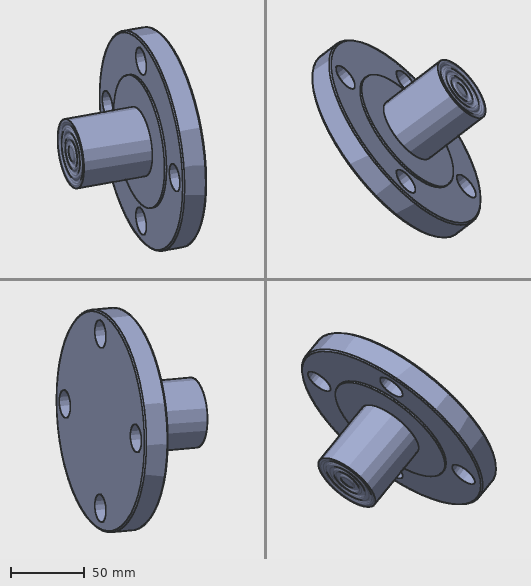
import cadquery as cq
import math

flange_diameter = 152.0
flange_thickness = 17.5
edge_chamfer = 1.0
raised_face_diameter = 92.0
raised_face_height = 1.5

bolt_hole_count = 4
bolt_hole_diameter = 19.0
bolt_circle_diameter = 121.0

tube_diameter = 48.0
tube_length = 50.0
total_length = flange_thickness + raised_face_height + tube_length

rim_inner_radius = 22.2
wave_radii = [20.4, 18.1, 14.9, 11.7, 9.9, 5.8]
center_disc_radius = 4.9
wave_slope = math.radians(40)
half_slope_tangent = math.tan(wave_slope / 2)


def cylinder(diameter, length):
    """Cylinder from the back face toward -Y."""
    return cq.Workplane("XZ").circle(diameter / 2).extrude(length)


def make_flange():
    flange = cylinder(flange_diameter, flange_thickness).edges().chamfer(edge_chamfer)
    return flange.union(cylinder(raised_face_diameter, flange_thickness + raised_face_height))


def make_bolt_holes():
    return (
        cq.Workplane("XZ")
        .polarArray(bolt_circle_diameter / 2, 0, 360, bolt_hole_count)
        .circle(bolt_hole_diameter / 2)
        .extrude(flange_thickness)
    )


def blend_midpoint(flat_radius, flat_y, joint_radius):
    """Middle of the arc that leaves a flat face and reaches the wave slope at the joint."""
    arc_radius = abs(flat_radius - joint_radius) / math.sin(wave_slope)
    side = math.copysign(1, joint_radius - flat_radius)
    middle_radius = flat_radius + side * arc_radius * math.sin(wave_slope / 2)
    return middle_radius, flat_y + arc_radius * (1 - math.cos(wave_slope / 2))


def make_diaphragm_recess():
    """Revolved space between the tube end plane and the corrugated surface."""
    end_y = -total_length
    outer_joint = wave_radii[0]
    inner_joint = wave_radii[-1]
    joint_y = end_y + (rim_inner_radius - outer_joint) * half_slope_tangent
    disc_y = joint_y - (inner_joint - center_disc_radius) * half_slope_tangent

    profile = cq.Workplane("XY").moveTo(0, end_y).lineTo(rim_inner_radius, end_y)
    profile = profile.threePointArc(
        blend_midpoint(rim_inner_radius, end_y, outer_joint), (outer_joint, joint_y)
    )

    direction = 1
    for outer, inner in zip(wave_radii, wave_radii[1:]):
        wave_height = (outer - inner) / 2 * half_slope_tangent
        middle = ((outer + inner) / 2, joint_y + direction * wave_height)
        profile = profile.threePointArc(middle, (inner, joint_y))
        direction = -direction

    profile = profile.threePointArc(
        blend_midpoint(center_disc_radius, disc_y, inner_joint), (center_disc_radius, disc_y)
    )
    return profile.lineTo(0, disc_y).close().revolve(360, (0, 0, 0), (0, 1, 0))


result = (
    make_flange()
    .union(cylinder(tube_diameter, total_length))
    .cut(make_bolt_holes())
    .cut(make_diaphragm_recess())
)